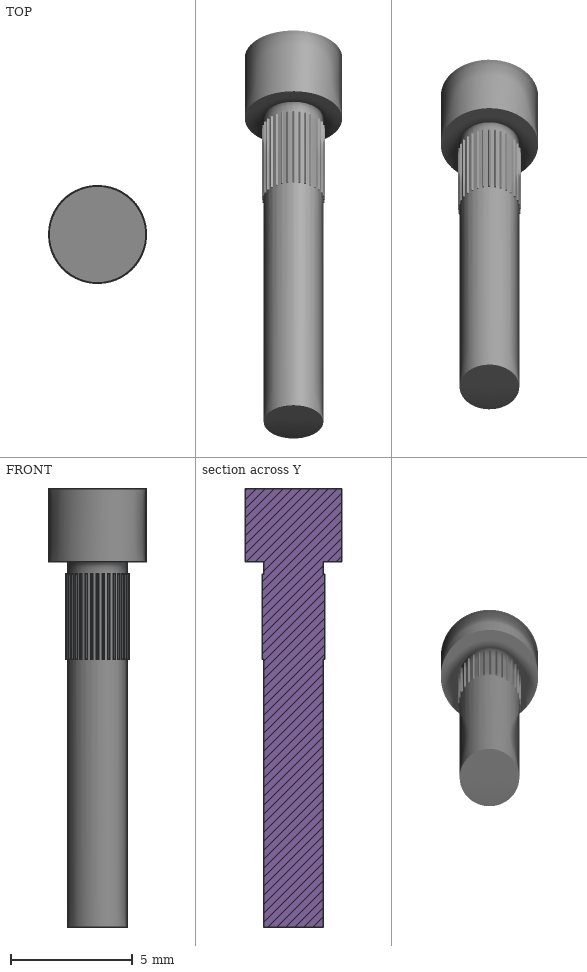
import cadquery as cq
import math

head_diameter = 4.0
head_height = 3.0

shank_diameter = 2.45
shank_length = 15.0

knurl_tip_diameter = 2.6
knurl_length = 3.5
neck_length = 0.5
tooth_count = 32
tooth_apex_angle = 60.0
root_overlap = 0.05

shank_radius = shank_diameter / 2
tip_radius = knurl_tip_diameter / 2
knurl_bottom = -neck_length - knurl_length
tooth_pitch_angle = 360.0 / tooth_count


def make_stepped_pin():
    """Revolve the head and shank about Z, with the head underside at Z = 0."""
    head_radius = head_diameter / 2
    half_profile = (
        cq.Workplane("XZ")
        .moveTo(0, -shank_length)
        .lineTo(-shank_radius, -shank_length)
        .lineTo(-shank_radius, 0)
        .lineTo(-head_radius, 0)
        .lineTo(-head_radius, head_height)
        .lineTo(0, head_height)
        .close()
    )
    return half_profile.revolve(360, (0, 0, 0), (0, 1, 0))


def make_tooth():
    """Triangular ridge along Z whose tip lies on the +X axis; its root is sunk into the shank."""
    root_x = shank_radius - root_overlap
    root_half_width = (tip_radius - root_x) * math.tan(math.radians(tooth_apex_angle / 2))
    outline = [(tip_radius, 0), (root_x, root_half_width), (root_x, -root_half_width)]
    return (
        cq.Workplane("XY")
        .workplane(offset=knurl_bottom)
        .polyline(outline)
        .close()
        .extrude(knurl_length)
    )


def make_knurl_teeth():
    """Copies of the tooth spaced evenly around the shank."""
    tooth = make_tooth()
    teeth = []
    for index in range(tooth_count):
        turned_tooth = tooth.rotate((0, 0, 0), (0, 0, 1), index * tooth_pitch_angle)
        teeth.append(turned_tooth.val())
    return teeth


pin = make_stepped_pin().val()
result = cq.Workplane(pin.fuse(*make_knurl_teeth()))